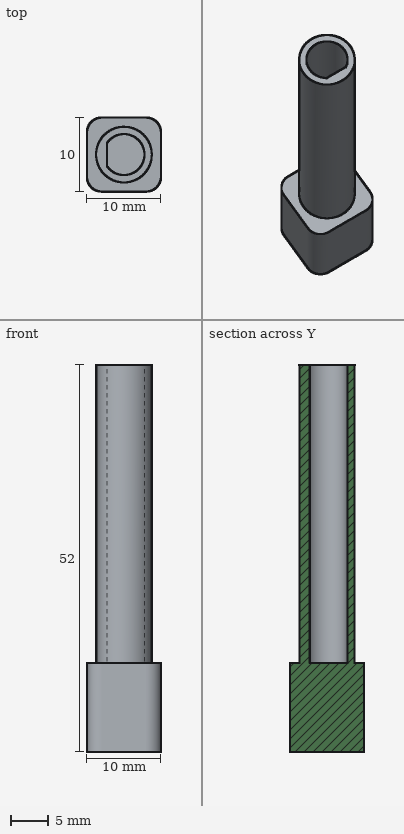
import cadquery as cq

total_height = 52.0

head_width = 10.0
head_height = 12.0
corner_radius = 2.05

tube_diameter = 7.5

bore_diameter = 5.5
flat_offset = 2.3
bore_depth = total_height - head_height


def make_head():
    block = cq.Workplane("XY").rect(head_width, head_width).extrude(head_height)
    return block.edges("|Z").fillet(corner_radius)


def make_tube():
    return cq.Workplane("XY").circle(tube_diameter / 2).extrude(total_height)


def make_bore():
    round_bore = (
        cq.Workplane("XY")
        .workplane(offset=total_height - bore_depth)
        .circle(bore_diameter / 2)
        .extrude(bore_depth)
    )
    keep = (
        cq.Workplane("XY")
        .box(bore_diameter, bore_diameter, total_height, centered=(False, True, False))
        .translate((-flat_offset, 0, 0))
    )
    return round_bore.intersect(keep)


result = make_head().union(make_tube()).cut(make_bore())